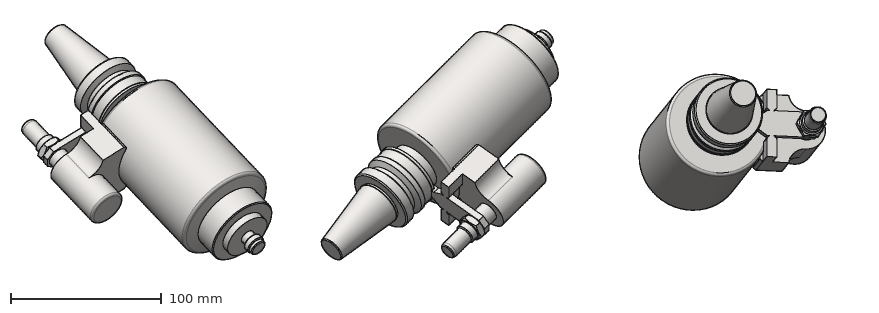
import cadquery as cq
import math

TAPER_TIP_D = 18.3
TAPER_BASE_D = 31.8
TAPER_END_X = 48.8
RELIEF_D = 30.7
TIP_CHAMFER = 0.7

FLANGE_D = 46.0
FLANGE_X = 50.5
FLANGE_CHAMFER = 1.0
GROOVE_D = 38.0
GROOVE_X = 58.0
GROOVE_FLOOR_W = 3.1
GROOVE_SLOPE_DEG = 60
FLANGE_END_X = 69.5
COLLAR_D = 45.0
COLLAR_RIM_X = 77.5
COLLAR_END_X = 79.5
NECK_D = 35.0

BODY_D = 70.0
BODY_X = 88.0
BODY_END_X = 186.6
BODY_ROUND = 2.0
REAR_CONE_END_X = 189.0
CAP_D = 50.0
CAP_END_X = 205.1
CAP_CHAMFER = 0.7
BOSS_D = 33.0
BOSS_END_X = 210.2

FITTING_STEM_D = 10.0
FITTING_RING_D = 13.4
FITTING_END_D = 11.5
FITTING_RING_X = 215.1
FITTING_RING_W = 5.0
FITTING_CHAMFER = 0.7
TOTAL_LENGTH = 222.7

BARREL_D = 26.0
OVERALL_Y = 108.0
PIN_Y = -(OVERALL_Y - BODY_D / 2 - BARREL_D / 2)
BARREL_X = 90.9
BARREL_END_X = 135.9
BARREL_END_ROUND = 1.8
PIN_TIP_X = 48.5
PIN_TIP_D = 12.0
PIN_TIP_CHAMFER = 0.7
PIN_TIP_CONE_D = 11.1
PIN_TIP_CONE_END_X = 51.0
PIN_STEP_X = 66.1
PIN_D = 14.0
PIN_STEP_CHAMFER = 0.7
NUT_X = 71.5
NUT_FLATS = 17.1
NUT_FACE_D = 16.3
NUT_CHAMFER_DEG = 30

PLATE_X = 76.8
PLATE_END_X = 81.5
PLATE_W = NUT_FLATS
TONGUE_W = 8.5
TONGUE_END_Y = -18.7
TONGUE_ROOT_Y = -24.5
LEG_Y = -30.7
LEG_T = 6.7
LEG_CHAMFER = 1.8
BRACKET_H = FLANGE_D
BLOCK_OUTER_Y = -48.3
BLOCK_END_X = 115.5
BLOCK_TOE_Y = -28.7
BLOCK_TOE_Z = 21.4


def revolve_about_x(points, axis_y=0.0):
    """Solid of revolution from (x, radius) points about an axis parallel to X."""
    profile = [(points[0][0], 0)] + points + [(points[-1][0], 0)]
    solid = cq.Workplane("XY").polyline(profile).close().revolve(360, (0, 0, 0), (1, 0, 0))
    return solid.translate((0, axis_y, 0))


def extrude_x(sketch_yz, x_start, x_end):
    """Extrude a closed outline drawn in (y, z) from x_start to x_end."""
    return sketch_yz.extrude(x_end - x_start).translate((x_start, 0, 0))


def make_shank():
    groove_depth = (FLANGE_D - GROOVE_D) / 2
    slope_run = groove_depth / math.tan(math.radians(GROOVE_SLOPE_DEG))
    collar_step = (FLANGE_D - COLLAR_D) / 2
    floor_x = GROOVE_X + slope_run
    floor_end_x = floor_x + GROOVE_FLOOR_W
    return revolve_about_x([
        (0, TAPER_TIP_D / 2 - TIP_CHAMFER),
        (TIP_CHAMFER, TAPER_TIP_D / 2),
        (TAPER_END_X, TAPER_BASE_D / 2),
        (TAPER_END_X, RELIEF_D / 2),
        (FLANGE_X, RELIEF_D / 2),
        (FLANGE_X, FLANGE_D / 2 - FLANGE_CHAMFER),
        (FLANGE_X + FLANGE_CHAMFER, FLANGE_D / 2),
        (GROOVE_X, FLANGE_D / 2),
        (floor_x, GROOVE_D / 2),
        (floor_end_x, GROOVE_D / 2),
        (floor_end_x + slope_run, FLANGE_D / 2),
        (FLANGE_END_X, FLANGE_D / 2),
        (FLANGE_END_X + collar_step, COLLAR_D / 2),
        (COLLAR_RIM_X, COLLAR_D / 2),
        (COLLAR_RIM_X, FLANGE_D / 2),
        (COLLAR_END_X, FLANGE_D / 2),
        (COLLAR_END_X, NECK_D / 2),
        (BODY_X, NECK_D / 2),
    ])


def make_body():
    body = revolve_about_x([(BODY_X, BODY_D / 2), (BODY_END_X, BODY_D / 2)])
    body = body.edges().fillet(BODY_ROUND)
    rear = revolve_about_x([
        (BODY_END_X, BODY_D / 2 - BODY_ROUND),
        (REAR_CONE_END_X, CAP_D / 2),
        (CAP_END_X - CAP_CHAMFER, CAP_D / 2),
        (CAP_END_X, CAP_D / 2 - CAP_CHAMFER),
        (CAP_END_X, BOSS_D / 2),
        (BOSS_END_X, BOSS_D / 2),
    ])
    return body.union(rear)


def make_fitting():
    ring_end_x = FITTING_RING_X + FITTING_RING_W
    return revolve_about_x([
        (BOSS_END_X, FITTING_STEM_D / 2),
        (FITTING_RING_X, FITTING_STEM_D / 2),
        (FITTING_RING_X, FITTING_RING_D / 2 - FITTING_CHAMFER),
        (FITTING_RING_X + FITTING_CHAMFER, FITTING_RING_D / 2),
        (ring_end_x - FITTING_CHAMFER, FITTING_RING_D / 2),
        (ring_end_x, FITTING_RING_D / 2 - FITTING_CHAMFER),
        (ring_end_x, FITTING_END_D / 2),
        (TOTAL_LENGTH - FITTING_CHAMFER, FITTING_END_D / 2),
        (TOTAL_LENGTH, FITTING_END_D / 2 - FITTING_CHAMFER),
    ])


def make_pin():
    pin = revolve_about_x([
        (PIN_TIP_X, PIN_TIP_CONE_D / 2 - PIN_TIP_CHAMFER),
        (PIN_TIP_X + PIN_TIP_CHAMFER, PIN_TIP_CONE_D / 2),
        (PIN_TIP_CONE_END_X, PIN_TIP_D / 2),
        (PIN_STEP_X, PIN_TIP_D / 2),
        (PIN_STEP_X + PIN_STEP_CHAMFER, PIN_D / 2),
        (BARREL_X, PIN_D / 2),
    ], PIN_Y)
    barrel = revolve_about_x([(BARREL_X, BARREL_D / 2), (BARREL_END_X, BARREL_D / 2)], PIN_Y)
    barrel = barrel.faces(">X").edges().fillet(BARREL_END_ROUND)
    return pin.union(barrel)


def make_nut():
    """Hexagon nut with the corners of both faces turned off conically."""
    corner_r = NUT_FLATS / 2 / math.cos(math.pi / 6)
    face_r = NUT_FACE_D / 2
    cone_l = (corner_r - face_r) * math.tan(math.radians(NUT_CHAMFER_DEG))
    hexagon = extrude_x(
        cq.Workplane("YZ").center(PIN_Y, 0).polygon(6, 2 * corner_r), NUT_X, PLATE_X)
    envelope = revolve_about_x([
        (NUT_X, face_r),
        (NUT_X + cone_l, corner_r),
        (PLATE_X - cone_l, corner_r),
        (PLATE_X, face_r),
    ], PIN_Y)
    return hexagon.intersect(envelope)


def make_arm_plate():
    """Flat arm with a half-octagon outer end and a tapered tongue at the collar."""
    half_w = PLATE_W / 2
    octagon_half_side = half_w * math.tan(math.pi / 8)
    upper = [
        (TONGUE_END_Y, TONGUE_W / 2),
        (TONGUE_ROOT_Y, TONGUE_W / 2),
        (LEG_Y, half_w),
        (PIN_Y - octagon_half_side, half_w),
        (PIN_Y - half_w, octagon_half_side),
    ]
    lower = [(y, -z) for y, z in reversed(upper)]
    outline = cq.Workplane("YZ").polyline(upper + lower).close()
    return extrude_x(outline, PLATE_X, PLATE_END_X)


def make_bracket_block():
    """Block from the body to the barrel, necked by a concave arc tangent to the barrel."""
    half_h = BRACKET_H / 2
    barrel_r = BARREL_D / 2
    run = BLOCK_OUTER_Y - PIN_Y
    rise = half_h - barrel_r
    arc_r = (run ** 2 + rise ** 2) / (2 * rise)
    half_angle = math.atan2(rise, run)
    mid_y = PIN_Y + arc_r * math.sin(half_angle)
    mid_z = barrel_r + arc_r * (1 - math.cos(half_angle))
    outline = (
        cq.Workplane("YZ")
        .moveTo(BLOCK_TOE_Y, -BLOCK_TOE_Z)
        .lineTo(BLOCK_TOE_Y, BLOCK_TOE_Z)
        .lineTo(LEG_Y, half_h)
        .lineTo(BLOCK_OUTER_Y, half_h)
        .threePointArc((mid_y, mid_z), (PIN_Y, barrel_r))
        .lineTo(PIN_Y, -barrel_r)
        .threePointArc((mid_y, -mid_z), (BLOCK_OUTER_Y, -half_h))
        .lineTo(LEG_Y, -half_h)
        .close()
    )
    return extrude_x(outline, BARREL_X, BLOCK_END_X)


def make_bracket_leg(side):
    """Leg joining the arm plate to the block; side is +1 above the plate, -1 below."""
    inner_z = side * PLATE_W / 2
    outer_z = side * BRACKET_H / 2
    outer_y = LEG_Y - LEG_T
    outline = cq.Workplane("YZ").polyline([
        (LEG_Y - LEG_CHAMFER, inner_z),
        (LEG_Y, inner_z + side * LEG_CHAMFER),
        (LEG_Y, outer_z),
        (outer_y, outer_z),
        (outer_y, inner_z + side * LEG_CHAMFER),
        (outer_y + LEG_CHAMFER, inner_z),
    ]).close()
    return extrude_x(outline, PLATE_X, BARREL_X)


result = make_shank().union(make_body()).union(make_fitting())
result = result.union(make_pin()).union(make_nut()).union(make_arm_plate())
result = result.union(make_bracket_block())
for leg_side in (1, -1):
    result = result.union(make_bracket_leg(leg_side))